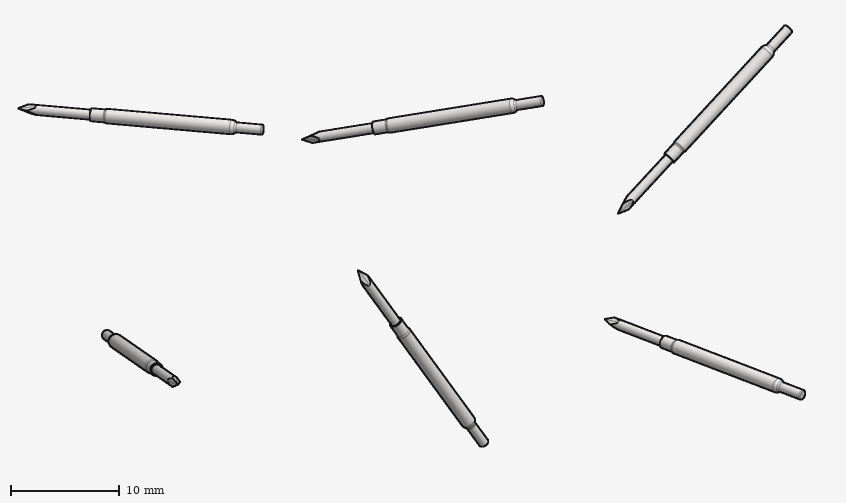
import cadquery as cq
import math

TOTAL_LENGTH = 23.62

PLUNGER_RADIUS = 0.96 / 2
SLEEVE_RADIUS = 1.23 / 2
BARREL_RADIUS = 1.37 / 2
TAIL_RADIUS = PLUNGER_RADIUS

SLEEVE_START = 7.08
LEAD_START = 8.35
LEAD_END = 8.57
SHOULDER_START = 20.59
SHOULDER_END = 21.15
LEAD_INFLECTION = 0.65
SHOULDER_INFLECTION = 0.64
TAIL_FILLET = 0.1

RIDGE_COUNT = 3
TIP_BLUNTING = 0.05
RIDGE_LENGTH = 0.94
CREASE_LENGTH = 1.80


def s_curve(profile, start, end, inflection):
    """Add two tangent arcs from start to end, level at both ends, to the profile."""
    run = end[0] - start[0]
    rise = end[1] - start[1]
    turn = 2 * math.atan2(abs(rise), run)
    radius_sum = run / math.sin(turn)
    direction = math.copysign(1, rise)

    def arc_point(anchor, radius, angle, x_sign):
        x = anchor[0] + x_sign * radius * math.sin(angle)
        r = anchor[1] + x_sign * direction * radius * (1 - math.cos(angle))
        return (x, r)

    first_radius = inflection * radius_sum
    second_radius = radius_sum - first_radius
    first_mid = arc_point(start, first_radius, turn / 2, 1)
    joint = arc_point(start, first_radius, turn, 1)
    second_mid = arc_point(end, second_radius, turn / 2, -1)
    return profile.threePointArc(first_mid, joint).threePointArc(second_mid, end)


def revolved_body():
    """Plunger, sleeve, barrel and tail as one solid of revolution about X."""
    profile = (
        cq.Workplane("XY")
        .lineTo(0, PLUNGER_RADIUS)
        .lineTo(SLEEVE_START, PLUNGER_RADIUS)
        .lineTo(SLEEVE_START, SLEEVE_RADIUS)
        .lineTo(LEAD_START, SLEEVE_RADIUS)
    )
    profile = s_curve(profile, (LEAD_START, SLEEVE_RADIUS), (LEAD_END, BARREL_RADIUS), LEAD_INFLECTION)
    profile = profile.lineTo(SHOULDER_START, BARREL_RADIUS)
    profile = s_curve(
        profile,
        (SHOULDER_START, BARREL_RADIUS),
        (SHOULDER_END, TAIL_RADIUS),
        SHOULDER_INFLECTION,
    )
    profile = profile.lineTo(TOTAL_LENGTH, TAIL_RADIUS).lineTo(TOTAL_LENGTH, 0).close()
    body = profile.revolve(360, (0, 0, 0), (1, 0, 0))
    return body.faces(">X").edges().fillet(TAIL_FILLET)


def point_envelope():
    """Six-sided pyramid with its apex just ahead of the tip, long enough to hold the whole probe."""
    ridge_slope = PLUNGER_RADIUS / (RIDGE_LENGTH + TIP_BLUNTING)
    crease_slope = PLUNGER_RADIUS / (CREASE_LENGTH + TIP_BLUNTING)
    corners = []
    for index in range(2 * RIDGE_COUNT):
        slope = ridge_slope if index % 2 == 0 else crease_slope
        radius = slope * (TOTAL_LENGTH + TIP_BLUNTING)
        angle = math.pi + index * math.pi / RIDGE_COUNT
        corners.append(cq.Vector(TOTAL_LENGTH, radius * math.cos(angle), radius * math.sin(angle)))

    apex = cq.Vector(-TIP_BLUNTING, 0, 0)
    faces = [cq.Face.makeFromWires(cq.Wire.makePolygon(corners, close=True))]
    for index, corner in enumerate(corners):
        next_corner = corners[(index + 1) % len(corners)]
        faces.append(cq.Face.makeFromWires(cq.Wire.makePolygon([apex, corner, next_corner], close=True)))
    return cq.Workplane(cq.Solid.makeSolid(cq.Shell.makeShell(faces)))


result = revolved_body().intersect(point_envelope())